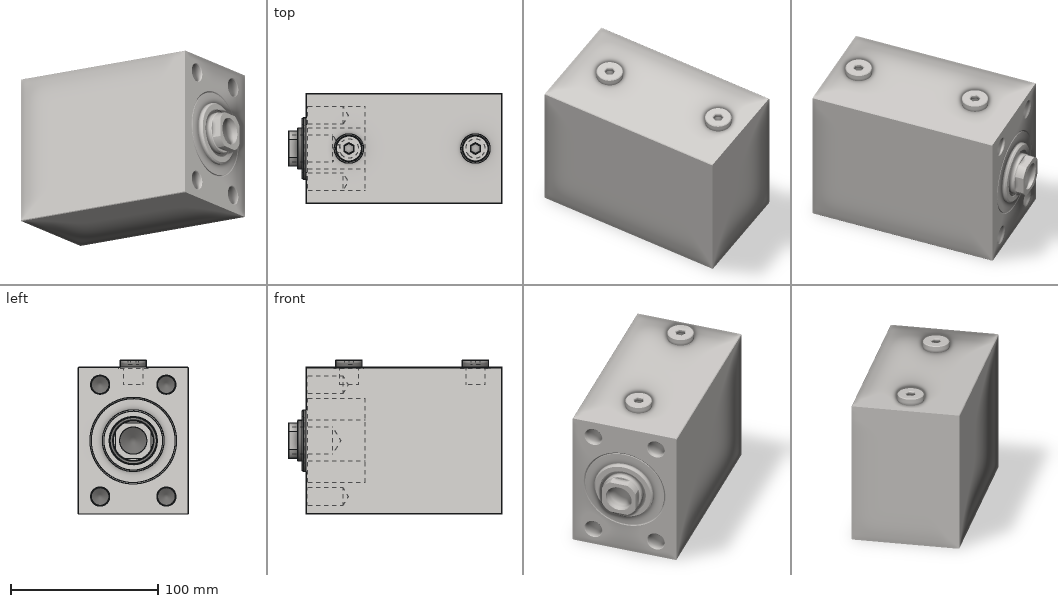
import cadquery as cq
import math

block_length = 133.0
block_width = 75.0
block_height = 100.0
block_edge_chamfer = 0.5
axis_height = block_height / 2

mount_hole_diameter = 12.0
mount_hole_mouth = 13.0
mount_hole_depth = 25.0
mount_pitch_y = 45.0
mount_pitch_z = 76.0
drill_point_angle = 118.0

gland_diameter = 57.0
gland_depth = 40.0
gland_seat_chamfer = 1.0
collar_diameter = 42.0
collar_height = 3.0
collar_chamfer = 1.0
recess_mouth_diameter = 32.8
recess_mouth_depth = 1.0
recess_diameter = 31.4
recess_depth = 1.5

rod_diameter = 28.0
rod_shoulder_height = 6.0
rod_shoulder_chamfer = 0.5
rod_tip_height = 12.0
rod_tip_diameter = rod_diameter - 2 * rod_shoulder_chamfer
rod_flats = 24.0
rod_hole_diameter = 18.5
rod_hole_depth = 30.0

plug_xs = (29.0, 115.0)
plug_diameter = 18.0
plug_rise = 4.9
plug_chamfer = 0.5
plug_socket_flats = 6.0
plug_socket_mouth_flats = 7.0
plug_socket_chamfer = 0.5
plug_socket_depth = 3.0
port_seat_diameter = 20.0
port_seat_depth = 1.0
port_depth = 12.0
port_diameter = 13.0


def drill_point_length(diameter):
    """Length of the conical bottom left by a drill."""
    return diameter / 2 / math.tan(math.radians(drill_point_angle / 2))


def turned(profile):
    """Solid of revolution about the rod axis from (x, radius) points."""
    return (
        cq.Workplane("XY")
        .polyline(profile)
        .close()
        .revolve(360, (0, 0, 0), (1, 0, 0))
        .translate((0, 0, axis_height))
    )


def blind_hole(start, diameter, depth):
    """Drilled hole along +X with a conical bottom."""
    radius = diameter / 2
    bottom = start + depth
    return turned([
        (start, 0),
        (start, radius),
        (bottom, radius),
        (bottom + drill_point_length(diameter), 0),
    ])


def mount_hole():
    """Blind mounting hole with a countersunk mouth."""
    radius = mount_hole_diameter / 2
    mouth = mount_hole_mouth / 2
    return turned([
        (0, 0),
        (0, mouth),
        (mouth - radius, radius),
        (mount_hole_depth, radius),
        (mount_hole_depth + drill_point_length(mount_hole_diameter), 0),
    ])


def gland_seat():
    """Pocket for the gland, chamfered at the front face."""
    radius = gland_diameter / 2
    return turned([
        (0, 0),
        (0, radius + gland_seat_chamfer),
        (gland_seat_chamfer, radius),
        (gland_depth, radius),
        (gland_depth, 0),
    ])


def port(x):
    """Stepped port in the top face: a wide seat over the plug bore."""
    top = cq.Workplane("XY", origin=(x, 0, block_height))
    bore = top.circle(port_diameter / 2).extrude(-port_depth)
    return top.circle(port_seat_diameter / 2).extrude(-port_seat_depth).union(bore)


def make_block():
    block = (
        cq.Workplane("XY")
        .box(block_length, block_width, block_height, centered=(False, True, False))
        .edges("|X")
        .chamfer(block_edge_chamfer)
        .cut(gland_seat())
    )
    for side_y in (-1, 1):
        for side_z in (-1, 1):
            offset = (0, side_y * mount_pitch_y / 2, side_z * mount_pitch_z / 2)
            block = block.cut(mount_hole().translate(offset))
    for x in plug_xs:
        block = block.cut(port(x))
    return block


def make_gland():
    collar_radius = collar_diameter / 2
    return turned([
        (gland_depth, rod_diameter / 2),
        (gland_depth, gland_diameter / 2),
        (0, gland_diameter / 2),
        (0, collar_radius),
        (collar_chamfer - collar_height, collar_radius),
        (-collar_height, collar_radius - collar_chamfer),
        (-collar_height, recess_mouth_diameter / 2),
        (recess_mouth_depth - collar_height, recess_mouth_diameter / 2),
        (recess_mouth_depth - collar_height, recess_diameter / 2),
        (recess_depth - collar_height, recess_diameter / 2),
        (recess_depth - collar_height, rod_diameter / 2),
    ])


def make_rod():
    shank = turned([
        (gland_depth, 0),
        (gland_depth, rod_diameter / 2),
        (rod_shoulder_chamfer - rod_shoulder_height, rod_diameter / 2),
        (-rod_shoulder_height, rod_tip_diameter / 2),
        (-rod_shoulder_height, 0),
    ])
    tip_length = rod_tip_height - rod_shoulder_height
    tip = cq.Workplane("YZ", origin=(-rod_tip_height, 0, axis_height))
    flats = tip.rect(rod_flats, rod_flats).extrude(tip_length)
    tip = tip.circle(rod_tip_diameter / 2).extrude(tip_length).intersect(flats)
    return shank.union(tip).cut(blind_hole(-rod_tip_height, rod_hole_diameter, rod_hole_depth))


def socket_profile(z, x, flats):
    """Hexagon across the given flats, with corners pointing along Y."""
    return (
        cq.Workplane("XY", origin=(x, 0, z))
        .transformed(rotate=(0, 0, 90))
        .polygon(6, flats / math.cos(math.pi / 6))
    )


def make_plug(x):
    head_top = block_height + plug_rise
    flange_bottom = block_height - port_seat_depth
    head = (
        cq.Workplane("XY", origin=(x, 0, block_height))
        .circle(plug_diameter / 2)
        .extrude(plug_rise)
        .faces(">Z")
        .chamfer(plug_chamfer)
    )
    flange = (
        cq.Workplane("XY", origin=(x, 0, flange_bottom))
        .circle(port_seat_diameter / 2)
        .extrude(port_seat_depth)
    )
    stem = (
        cq.Workplane("XY", origin=(x, 0, block_height - port_depth))
        .circle(port_diameter / 2)
        .extrude(port_depth - port_seat_depth)
    )
    socket = socket_profile(head_top, x, plug_socket_flats).extrude(-plug_socket_depth)
    mouth_taper = math.degrees(
        math.atan((plug_socket_mouth_flats - plug_socket_flats) / 2 / plug_socket_chamfer)
    )
    mouth = socket_profile(head_top, x, plug_socket_mouth_flats).extrude(
        -plug_socket_chamfer, taper=mouth_taper
    )
    return head.union(flange).union(stem).cut(socket).cut(mouth)


block = make_block()
gland = make_gland()
rod = make_rod()
plugs = [make_plug(x) for x in plug_xs]

result = cq.Compound.makeCompound([
    block.val(),
    gland.val(),
    rod.val(),
    *[plug.val() for plug in plugs],
])